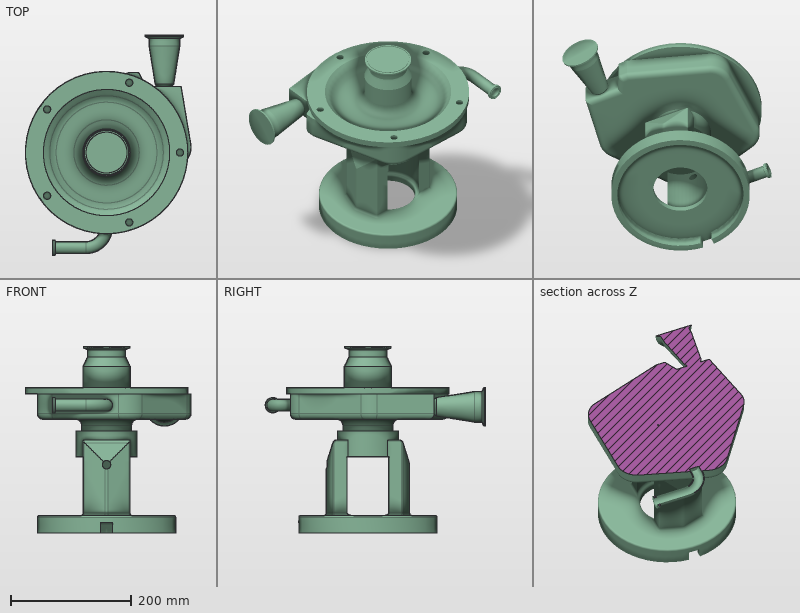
import cadquery as cq
import math

base_radius = 115.0
base_height = 29.0
base_edge_fillet = 3.0
bore_radius = 44.9
bore_edge_round = 3.0
recess_radius = 105.0
recess_depth = 17.3
recess_fillet = 2.5
slot_width = 19.8
slot_corner_fillet = 1.5

leg_half_width = 39.0
leg_top_z = 155.0
leg_ridge_y = 69.9
leg_tilt_deg = 17.5
leg_apex_z = 113.5
leg_inner_radius = 52.0
leg_edge_fillet = 2.0
leg_ridge_fillet = 8.5
leg_top_fillet = 7.4
leg_foot_fillet = 4.0
leg_hole_radius = 7.0

hub_radius = 51.0
hub_bottom_z = 126.5
hub_top_z = 169.8
neck_radius = 41.8
neck_fillet = 10.0

casing_bottom_z = 189.0
casing_top_z = 231.2
casing_apothem = 115.0
casing_corner_radius = 35.0
casing_bottom_fillet = 9.5
pentagon_sides = 5
tongue_y = 133.2
tongue_tip_x = 53.5
tongue_tip_radius = 4.0
tongue_root_x = 65.0
discharge_y = 110.2
discharge_right_x = 124.0
discharge_side_deg = 9.5

flange_radius = 135.0
flange_top_z = 241.5
dish_radius = 105.0
dish_depth = 15.0
dish_round = 15.0
dish_wall_deg = 45.0
bolt_circle_radius = 122.0
bolt_hole_diameter = 12.0

inlet_radius = 39.4
inlet_tube_radius = 31.8
inlet_clamp_radius = 38.6
inlet_reducer_bottom_z = 276.5
inlet_reducer_top_z = 292.5
inlet_top_z = 310.0
inlet_groove_inner = 34.0
inlet_groove_outer = 36.8
inlet_groove_depth = 1.2

outlet_x = 96.2
outlet_z = 209.7
outlet_end_y = 195.0
outlet_tube_radius = 25.7
outlet_clamp_radius = 32.0
outlet_tube_start_y = 177.3
outlet_cone_radius = 15.5
outlet_cone_start_y = 113.7
outlet_neck_radius = 12.7

clamp_lip = 2.5
clamp_height = 5.5

drain_end_x = -90.0
drain_y = -158.0
drain_z = 212.4
drain_bend_start_x = -34.5
drain_bend_radius = 34.5
drain_radius = 10.0
drain_bore_radius = 8.0
drain_root_y = -112.0
drain_clamp_radius = 12.7
drain_clamp_lip = 4.3
drain_clamp_height = 5.5
drain_groove_inner = 9.7
drain_groove_outer = 11.2
drain_groove_depth = 0.8


def disc(radius, bottom_z, top_z):
    """Vertical cylinder about the Z axis."""
    return cq.Workplane("XY").workplane(offset=bottom_z).circle(radius).extrude(top_z - bottom_z)


def polar(radius, angle_deg):
    """Point at a radius and angle in the XY plane."""
    angle = math.radians(angle_deg)
    return (radius * math.cos(angle), radius * math.sin(angle))


def make_leg():
    """Support leg on the -Y side: a ridged column with a tilted top facet."""
    slope = math.tan(math.radians(leg_tilt_deg))
    shoulder_y = leg_ridge_y - leg_half_width * slope
    leg = (
        cq.Workplane("XY")
        .workplane(offset=base_height)
        .polyline(
            [
                (-leg_half_width, 0),
                (-leg_half_width, -shoulder_y),
                (0, -leg_ridge_y),
                (leg_half_width, -shoulder_y),
                (leg_half_width, 0),
            ]
        )
        .close()
        .extrude(leg_top_z - base_height)
    )
    leg = leg.edges("|Z and <Y").fillet(leg_ridge_fillet)

    facet_top_y = leg_ridge_y - (leg_top_z - leg_apex_z) * slope
    facet_cut = (
        cq.Workplane("YZ")
        .polyline(
            [
                (-leg_ridge_y, leg_apex_z),
                (-facet_top_y, leg_top_z),
                (-leg_ridge_y, leg_top_z),
            ]
        )
        .close()
        .extrude(leg_half_width, both=True)
    )
    leg = leg.cut(facet_cut)
    leg = leg.faces(">Z").edges("<Y").fillet(leg_top_fillet)
    side_edges = leg.faces("<X or >X").edges("not (<Z or >Y)")
    leg = side_edges.fillet(leg_edge_fillet)

    return leg.cut(disc(leg_inner_radius, base_height, hub_bottom_z))


def make_stand():
    """Base plate, legs with filleted feet, leg hole, bore, underside recess and slot."""
    plate = disc(base_radius, 0, base_height).faces(">Z").edges().fillet(base_edge_fillet)
    leg = make_leg()
    stand = plate.union(leg).union(leg.rotate((0, 0, 0), (0, 0, 1), 180))

    leg_hole = cq.Workplane("XZ", origin=(0, 0, leg_apex_z)).circle(leg_hole_radius).extrude(base_radius)
    stand = stand.cut(leg_hole)

    margin = 0.5
    foot_zone = cq.selectors.BoxSelector(
        (-leg_half_width - margin, -leg_ridge_y - margin, base_height - margin),
        (leg_half_width + margin, leg_ridge_y + margin, base_height + margin),
    )
    stand = stand.edges(foot_zone).fillet(leg_foot_fillet)

    rim_radius = bore_radius + bore_edge_round
    bore = (
        cq.Workplane("XZ")
        .moveTo(0, 0)
        .lineTo(bore_radius, 0)
        .lineTo(bore_radius, base_height - bore_edge_round)
        .radiusArc((rim_radius, base_height), bore_edge_round)
        .lineTo(0, base_height)
        .close()
        .revolve(360, (0, 0, 0), (0, 1, 0))
    )
    slot = cq.Workplane("XY").box(slot_width, base_radius, recess_depth, centered=(True, False, False))
    slot = slot.edges("|Y and >Z").fillet(slot_corner_fillet).translate((0, -base_radius, 0))
    recess = disc(recess_radius, 0, recess_depth).faces(">Z").edges().fillet(recess_fillet)
    return stand.cut(bore).cut(recess).cut(slot)


def make_hub():
    """Bearing hub, and the neck that flares into the casing floor."""
    neck = (
        cq.Workplane("XZ")
        .moveTo(0, hub_top_z)
        .lineTo(neck_radius, hub_top_z)
        .lineTo(neck_radius, casing_bottom_z - neck_fillet)
        .radiusArc((neck_radius + neck_fillet, casing_bottom_z), neck_fillet)
        .lineTo(0, casing_bottom_z)
        .close()
        .revolve(360, (0, 0, 0), (0, 1, 0))
    )
    return disc(hub_radius, hub_bottom_z, hub_top_z).union(neck)


def make_casing():
    """Volute casing: three rounded pentagon corners, a tongue and a discharge corner."""
    step = 360 / pentagon_sides
    vertex_radius = casing_apothem / math.cos(math.radians(step / 2))
    corners = [polar(vertex_radius, k * step) for k in (2, 3, 4)]

    side_x, side_y = polar(1, 1.5 * step)
    tongue_start_x = (casing_apothem - tongue_y * side_y) / side_x

    side_x, side_y = polar(1, -step / 2)
    lean = math.tan(math.radians(discharge_side_deg))
    right_y = (casing_apothem - side_x * (discharge_right_x + lean * discharge_y)) / (side_y - side_x * lean)
    right_x = discharge_right_x + lean * (discharge_y - right_y)

    casing = (
        cq.Workplane("XY")
        .workplane(offset=casing_bottom_z)
        .polyline(
            corners
            + [
                (right_x, right_y),
                (discharge_right_x, discharge_y),
                (tongue_root_x, discharge_y),
                (tongue_tip_x, tongue_y),
                (tongue_start_x, tongue_y),
            ]
        )
        .close()
        .extrude(casing_top_z - casing_bottom_z)
    )
    mid_z = (casing_bottom_z + casing_top_z) / 2
    for x, y in corners + [(right_x, right_y)]:
        casing = casing.edges(cq.NearestToPointSelector((x, y, mid_z))).fillet(casing_corner_radius)
    tip = cq.NearestToPointSelector((tongue_tip_x, tongue_y, mid_z))
    casing = casing.edges(tip).fillet(tongue_tip_radius)
    return casing.faces("<Z").edges().fillet(casing_bottom_fillet)


def make_flange():
    """Cover flange with five blind bolt holes."""
    flange = disc(flange_radius, casing_top_z, flange_top_z)
    return (
        flange.faces(">Z")
        .workplane(origin=(0, 0, flange_top_z))
        .polarArray(bolt_circle_radius, 0, 360, pentagon_sides)
        .circle(bolt_hole_diameter / 2)
        .cutBlind(casing_top_z - flange_top_z)
    )


def make_dish():
    """Ring-shaped dish in the cover: sloped outer wall, flat floor, round up to the inlet."""
    floor_z = flange_top_z - dish_depth
    wall = math.radians(dish_wall_deg)
    arc_rise = dish_round * (1 - math.cos(wall))
    arc_run = dish_round * math.sin(wall)
    wall_foot_radius = dish_radius - (dish_depth - arc_rise) / math.tan(wall)
    return (
        cq.Workplane("XZ")
        .moveTo(inlet_radius, flange_top_z)
        .radiusArc((inlet_radius + dish_round, floor_z), -dish_round)
        .lineTo(wall_foot_radius - arc_run, floor_z)
        .radiusArc((wall_foot_radius, floor_z + arc_rise), -dish_round)
        .lineTo(dish_radius, flange_top_z)
        .close()
        .revolve(360, (0, 0, 0), (0, 1, 0))
    )


def make_inlet():
    """Inlet spigot with a reducer and a clamp ferrule."""
    inlet = (
        cq.Workplane("XZ")
        .moveTo(0, flange_top_z - dish_depth)
        .lineTo(inlet_radius, flange_top_z - dish_depth)
        .lineTo(inlet_radius, inlet_reducer_bottom_z)
        .lineTo(inlet_tube_radius, inlet_reducer_top_z)
        .lineTo(inlet_tube_radius, inlet_top_z - clamp_height)
        .lineTo(inlet_clamp_radius, inlet_top_z - clamp_lip)
        .lineTo(inlet_clamp_radius, inlet_top_z)
        .lineTo(0, inlet_top_z)
        .close()
        .revolve(360, (0, 0, 0), (0, 1, 0))
    )
    groove = (
        cq.Workplane("XY", origin=(0, 0, inlet_top_z))
        .circle(inlet_groove_outer)
        .circle(inlet_groove_inner)
        .extrude(-inlet_groove_depth)
    )
    return inlet.cut(groove)


def make_outlet():
    """Conical outlet nozzle along +Y with a clamp ferrule."""
    nozzle = (
        cq.Workplane("XY")
        .moveTo(0, discharge_y - outlet_neck_radius)
        .lineTo(outlet_neck_radius, discharge_y - outlet_neck_radius)
        .lineTo(outlet_neck_radius, discharge_y)
        .lineTo(outlet_cone_radius, outlet_cone_start_y)
        .lineTo(outlet_tube_radius, outlet_tube_start_y)
        .lineTo(outlet_tube_radius, outlet_end_y - clamp_height)
        .lineTo(outlet_clamp_radius, outlet_end_y - clamp_lip)
        .lineTo(outlet_clamp_radius, outlet_end_y)
        .lineTo(0, outlet_end_y)
        .close()
        .revolve(360, (0, 0, 0), (0, 1, 0))
    )
    return nozzle.translate((outlet_x, 0, outlet_z))


def drain_sweep(radius):
    """Round bar along the drain path: straight run, quarter bend, then into the casing."""
    bend_end = (drain_bend_start_x + drain_bend_radius, drain_y + drain_bend_radius)
    path = (
        cq.Workplane("XY", origin=(0, 0, drain_z))
        .moveTo(drain_end_x, drain_y)
        .lineTo(drain_bend_start_x, drain_y)
        .radiusArc(bend_end, -drain_bend_radius)
        .lineTo(bend_end[0], drain_root_y)
    )
    return cq.Workplane("YZ", origin=(drain_end_x, drain_y, drain_z)).circle(radius).sweep(path)


def make_drain():
    """Drain pipe with its clamp ferrule, still solid inside."""
    ferrule = (
        cq.Workplane("XY")
        .lineTo(0, drain_clamp_radius)
        .lineTo(drain_clamp_lip, drain_clamp_radius)
        .lineTo(drain_clamp_height, drain_radius)
        .lineTo(drain_clamp_height, 0)
        .close()
        .revolve(360, (0, 0, 0), (1, 0, 0))
        .translate((drain_end_x, drain_y, drain_z))
    )
    groove = (
        cq.Workplane("YZ", origin=(drain_end_x, drain_y, drain_z))
        .circle(drain_groove_outer)
        .circle(drain_groove_inner)
        .extrude(drain_groove_depth)
    )
    return drain_sweep(drain_radius).union(ferrule).cut(groove)


result = (
    make_stand()
    .union(make_hub())
    .union(make_casing())
    .union(make_flange())
    .cut(make_dish())
    .union(make_inlet())
    .union(make_outlet())
    .union(make_drain())
    .cut(drain_sweep(drain_bore_radius))
)